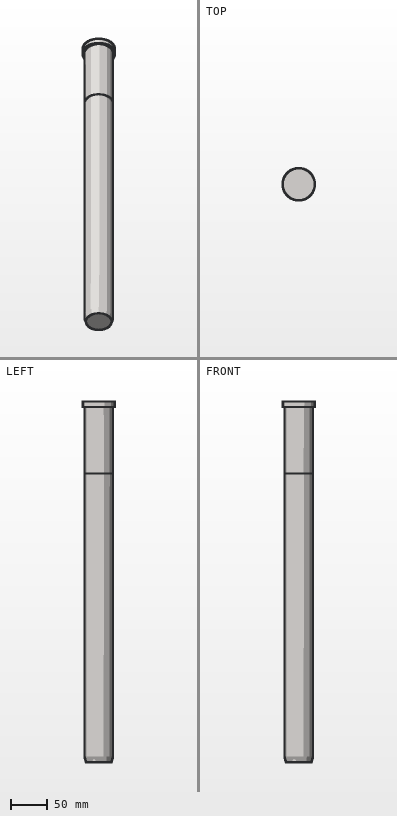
import cadquery as cq

total_length = 500.0
shaft_diameter = 40.0
collar_diameter = 45.0
collar_height = 8.0
head_length = 100.0
tip_height = 8.0
tip_diameter = 35.5

bottom_z = -total_length / 2
top_z = total_length / 2
joint_z = top_z - head_length


def make_shaft():
    """Long lower cylinder with a tapered lead-in at its bottom end."""
    shaft_radius = shaft_diameter / 2
    return (
        cq.Workplane("XZ")
        .moveTo(0, bottom_z)
        .lineTo(tip_diameter / 2, bottom_z)
        .lineTo(shaft_radius, bottom_z + tip_height)
        .lineTo(shaft_radius, joint_z)
        .lineTo(0, joint_z)
        .close()
        .revolve(360, (0, 0), (0, 1))
    )


def make_head():
    """Upper cylinder that continues the shaft and ends in a collar."""
    neck_length = head_length - collar_height
    return (
        cq.Workplane("XY", origin=(0, 0, joint_z))
        .circle(shaft_diameter / 2)
        .extrude(neck_length)
        .faces(">Z")
        .workplane()
        .circle(collar_diameter / 2)
        .extrude(collar_height)
    )


shaft = make_shaft()
head = make_head()

result = cq.Compound.makeCompound([shaft.val(), head.val()])